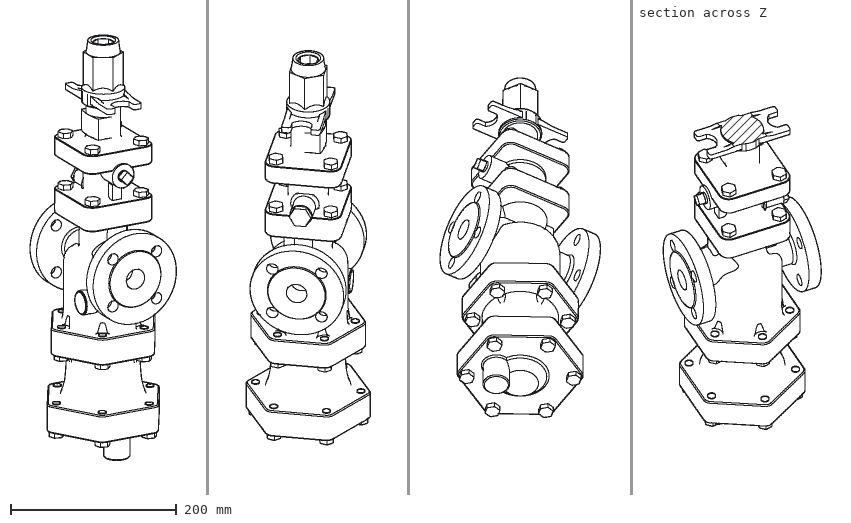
import cadquery as cq
import math


BOTTOM_Z = -241.0
TOP_Z = 281.0
PIPE_HALF_LENGTH = 80.0

PIPE_FLANGE_DIA = 115.0
PIPE_FLANGE_BACK_X = 62.0
RAISED_FACE_DIA = 70.0
RAISED_FACE_HEIGHT = 1.6
RAISED_FACE_SLOPE = 1.0
PORT_BORE_DIA = 25.0
PORT_BORE_DEPTH = 30.0
PIPE_BOLT_CIRCLE = 85.0
PIPE_BOLT_HOLE_DIA = 14.0
PORT_NECK_DIA = 42.0
PORT_ROOT_LENGTH = 4.0
PORT_ROOT_HEIGHT = 2.0

BOLT_DIA = 10.0
BOLT_TIP_HEIGHT = 1.0
HEAD_ACROSS_CORNERS = 18.48
HEAD_HEIGHT = 6.5
HEAD_CHAMFER = 0.5
HEAD_TURN = 15.0

SQUARE_BOLT_OFFSET = 33.5
SQUARE_CORNER_RADIUS = 13.0
SQUARE_SIDE = 2 * (SQUARE_BOLT_OFFSET + SQUARE_CORNER_RADIUS)
SQUARE_BOTTOM_CHAMFER = 1.5
SQUARE_TOP_CHAMFER = 0.8
GASKET_THICKNESS = 1.5
UPPER_JOINT_BOTTOM_Z = 129.5
UPPER_JOINT_SEAM_Z = 141.0
UPPER_JOINT_TOP_Z = 153.5
LOWER_JOINT_BOTTOM_Z = 56.0
LOWER_JOINT_SEAM_Z = 75.0
LOWER_JOINT_TOP_Z = 87.5

HEX_EDGE_CHAMFER = 1.5
MIDDLE_CORNER_CIRCLE_RADIUS = 58.0
MIDDLE_CORNER_RADIUS = 12.0
MIDDLE_BOLT_RADIUS = 57.5
MIDDLE_TOP_Z = -76.5
MIDDLE_SEAM_Z = -94.5
MIDDLE_BOTTOM_Z = -110.5
BASE_CORNER_CIRCLE_RADIUS = 66.0
BASE_CORNER_RADIUS = 10.0
BASE_BOLT_RADIUS = 64.5
BASE_TOP_Z = -172.5
BASE_SEAM_Z = -190.0
BASE_BOTTOM_Z = -207.5

BODY_RADIUS = 48.0
BODY_FOOT_RADIUS = 49.5
BODY_FOOT_Z = -63.5
SHOULDER_Z = -3.5
SHOULDER_TOP_Z = 13.0
BODY_NECK_RADIUS = 29.0
BODY_NECK_FILLET = 7.0
BODY_NECK_FLARE_RADIUS = 32.5
BODY_NECK_FLARE_Z = 42.0
FOOT_FILLET = 3.0
UPPER_CLEARANCE_RADIUS = 10.3

SKIRT_COLLAR_RADIUS = 46.5
SKIRT_COLLAR_Z = -114.5
SKIRT_WAIST_RADIUS = 44.7
SKIRT_WAIST_Z = -126.5
SKIRT_FLARE_RADIUS = 46.3
SKIRT_FLARE_Z = -151.0
SKIRT_FLARE_BULGE = 1.8
SKIRT_FOOT_FILLET = 2.0
SKIRT_FOOT_RADIUS = 51.5
LOWER_CLEARANCE_RADIUS = 12.5

PASSAGE_OUTER_X = 42.5
PASSAGE_INNER_X = 25.0
PASSAGE_WIDTH = 20.0
PASSAGE_BOTTOM_Z = 5.0
PASSAGE_EDGE_FILLET = 3.5

OUTLET_NECK_Z = 3.0
OUTLET_SWELL_RADIUS = 25.0
OUTLET_SWELL_INNER_X = 32.0
OUTLET_SWELL_INNER_Z = 12.0
OUTLET_SWELL_OUTER_X = 55.5
OUTLET_SWELL_OUTER_Z = 7.0
OUTLET_SWELL_OUTER_RADIUS = 22.5

FRONT_BOSS_X = 29.0
FRONT_BOSS_Z = -38.0
FRONT_BOSS_DIA = 30.0
FRONT_PLUG_DIA = 27.0
FRONT_PLUG_HEIGHT = 1.5
FRONT_BOSS_INNER_Y = -30.0

COVER_RADII = (35.0, 32.0, 28.5, 22.0)
COVER_LEVELS = (BASE_BOTTOM_Z, -209.5, -214.0, -220.5)
DRAIN_X = 33.7
DRAIN_DIA = 32.0
DRAIN_CHAMFER = 1.5
DRAIN_ROOT_FLARE = 2.0

PILOT_RADIUS = 24.3
PILOT_COLLAR_RADIUS = 31.03
PILOT_COLLAR_Z = 124.5
PILOT_FLARE_Z = 116.0
PILOT_FOOT_FILLET = 5.0

INLET_BOSS_Z = 91.5
INLET_BOSS_DIA = 27.0
INLET_BOSS_END_X = -49.5
INLET_PLUG_FLATS = 23.4
INLET_PLUG_END_X = -56.0
BOSS_ROOT_FLARE = 2.0
PILOT_RIB_END_X = 34.0
PILOT_RIB_WIDTH = 12.0
PILOT_RIB_TOP_Z = 107.0
SIDE_BOSS_Z = 122.5
SIDE_BOSS_DIA = 30.0
SIDE_BOSS_END_X = 49.5
SIDE_PLUG_DIAGONAL = 17.0
SIDE_PLUG_SHANK_DIA = 14.0
SIDE_PLUG_HEAD_X = 52.0
SIDE_PLUG_END_X = 60.5

STEM_DIA = 42.0
STEM_FOOT_FILLET = 7.0
WRENCH_BLOCK_BOTTOM_Z = 162.5
WRENCH_BLOCK_TOP_Z = 189.5
WRENCH_BLOCK_EDGE_Y = -18.4

HUB_DIA = 52.0
HUB_BOTTOM_Z = 202.0
HUB_TOP_Z = 221.0
HUB_CONE_TOP_Z = 227.0
HUB_BOTTOM_CHAMFER = 1.5
HANDLE_LENGTH = 108.0
HANDLE_WIDTH = 47.0
HANDLE_BOTTOM_Z = 206.0
HANDLE_TOP_Z = 213.0
HANDLE_END_FILLET = 3.0
NOTCH_HALF_WIDTH = 12.3
NOTCH_SHOULDER_X = 41.5
NOTCH_BOTTOM_X = 34.8
RIB_WIDTH = 6.3
RIB_START_X = 32.0
RIB_END_X = 7.0
RIB_TOP_Z = 217.5
PAD_WIDTH = 13.5
PAD_HALF_DEPTH = 25.2

NUT_ACROSS_FLATS = 42.0
NUT_TOP_Z = 266.0
CAP_BASE_RADIUS = 20.7
CAP_TOP_RADIUS = 18.7
SOCKET_MOUTH_DIA = 30.0
SOCKET_ACROSS_CORNERS = 25.0
SOCKET_CHAMFER_DEPTH = 2.5
SOCKET_DEPTH = 14.0

HEX_ANGLES = [30.0 + 60.0 * i for i in range(6)]
SQUARE_CORNERS = [(sx * SQUARE_BOLT_OFFSET, sy * SQUARE_BOLT_OFFSET) for sx in (-1, 1) for sy in (-1, 1)]


def polar_points(radius):
    """Six points on a circle, lined up with the hexagon corners."""
    return [
        (radius * math.cos(math.radians(a)), radius * math.sin(math.radians(a)))
        for a in HEX_ANGLES
    ]


def cylinder(radius, bottom_z, top_z, x=0.0, y=0.0):
    return cq.Workplane("XY", origin=(x, y, bottom_z)).circle(radius).extrude(top_z - bottom_z)


def cylinder_along_x(diameter, start_x, end_x, z=0.0):
    return cq.Workplane("YZ", origin=(start_x, 0, z)).circle(diameter / 2).extrude(end_x - start_x)


def box(x_range, y_range, z_range):
    size = [high - low for low, high in (x_range, y_range, z_range)]
    return cq.Workplane("XY").box(*size, centered=False).translate((x_range[0], y_range[0], z_range[0]))


def revolved(profile):
    """Revolve an (r, z) outline drawn on the XZ plane about the Z axis."""
    return profile.close().revolve(360, (0, 0, 0), (0, 1, 0))


def hex_head(x, y, seat_z, direction):
    """Bolt head standing on seat_z, pointing up (+1) or down (-1)."""
    head = (
        cq.Workplane("XY")
        .polygon(6, HEAD_ACROSS_CORNERS)
        .extrude(HEAD_HEIGHT)
        .intersect(
            cq.Workplane("XY").circle(HEAD_ACROSS_CORNERS / 2).extrude(HEAD_HEIGHT)
            .faces(">Z").chamfer(HEAD_CHAMFER)
        )
        .rotate((0, 0, 0), (0, 0, 1), HEAD_TURN)
    )
    if direction < 0:
        head = head.mirror("XY")
    return head.translate((x, y, seat_z))


def square_plate(bottom_z, top_z):
    return (
        cq.Workplane("XY", origin=(0, 0, bottom_z))
        .rect(SQUARE_SIDE, SQUARE_SIDE)
        .extrude(top_z - bottom_z)
        .edges("|Z")
        .fillet(SQUARE_CORNER_RADIUS)
    )


def square_joint(bottom_z, seam_z, top_z):
    """Two square plates with a gasket between them and four bolts on top."""
    gasket_top_z = seam_z + GASKET_THICKNESS
    joint = square_plate(bottom_z, seam_z).faces("<Z").chamfer(SQUARE_BOTTOM_CHAMFER)
    joint = joint.union(square_plate(seam_z, gasket_top_z), clean=False)
    top_plate = square_plate(gasket_top_z, top_z).faces(">Z").chamfer(SQUARE_TOP_CHAMFER)
    joint = joint.union(top_plate, clean=False)
    for x, y in SQUARE_CORNERS:
        joint = joint.union(hex_head(x, y, top_z, 1), clean=False)
    return joint


def hex_plate(corner_circle_radius, corner_radius, bottom_z, top_z):
    """Hexagon with rounded corners pointing along +Y and -Y."""
    flat_distance = corner_circle_radius * math.cos(math.pi / 6) + corner_radius
    across_corners = 2 * flat_distance / math.cos(math.pi / 6)
    return (
        cq.Workplane("XY", origin=(0, 0, bottom_z))
        .polygon(6, across_corners)
        .extrude(top_z - bottom_z)
        .rotate((0, 0, 0), (0, 0, 1), HEX_ANGLES[0])
        .edges("|Z")
        .fillet(corner_radius)
    )


def hex_joint(corner_circle_radius, corner_radius, bolt_radius, bottom_z, seam_z, top_z):
    """Two hexagonal plates with bolt heads below and bolt tips above."""
    lower = hex_plate(corner_circle_radius, corner_radius, bottom_z, seam_z)
    upper = hex_plate(corner_circle_radius, corner_radius, seam_z, top_z)
    lower = lower.faces("<Z").chamfer(HEX_EDGE_CHAMFER)
    upper = upper.faces(">Z").chamfer(HEX_EDGE_CHAMFER)
    joint = lower.union(upper, clean=False)
    for x, y in polar_points(bolt_radius):
        joint = joint.union(hex_head(x, y, bottom_z, -1), clean=False)
        joint = joint.union(cylinder(BOLT_DIA / 2, seam_z, top_z + BOLT_TIP_HEIGHT, x, y), clean=False)
    return joint


def main_body():
    foot_top_z = MIDDLE_TOP_Z + FOOT_FILLET
    body = revolved(
        cq.Workplane("XZ")
        .moveTo(0, MIDDLE_SEAM_Z)
        .lineTo(BODY_FOOT_RADIUS + FOOT_FILLET, MIDDLE_SEAM_Z)
        .lineTo(BODY_FOOT_RADIUS + FOOT_FILLET, MIDDLE_TOP_Z)
        .radiusArc((BODY_FOOT_RADIUS, foot_top_z), FOOT_FILLET)
        .lineTo(BODY_RADIUS, BODY_FOOT_Z)
        .lineTo(BODY_RADIUS, SHOULDER_Z)
        .spline(
            [(BODY_NECK_RADIUS + BODY_NECK_FILLET, SHOULDER_TOP_Z)],
            tangents=[(0, 1), (-1, 0)],
            includeCurrent=True,
        )
        .radiusArc((BODY_NECK_RADIUS, SHOULDER_TOP_Z + BODY_NECK_FILLET), BODY_NECK_FILLET)
        .lineTo(BODY_NECK_RADIUS, BODY_NECK_FLARE_Z)
        .lineTo(BODY_NECK_FLARE_RADIUS, LOWER_JOINT_BOTTOM_Z)
        .lineTo(0, LOWER_JOINT_BOTTOM_Z)
    )
    for x, y in polar_points(MIDDLE_CORNER_CIRCLE_RADIUS):
        body = body.cut(cylinder(UPPER_CLEARANCE_RADIUS, MIDDLE_TOP_Z, BODY_FOOT_Z, x, y))
    passage = box(
        (PASSAGE_INNER_X, PASSAGE_OUTER_X),
        (-PASSAGE_WIDTH / 2, PASSAGE_WIDTH / 2),
        (PASSAGE_BOTTOM_Z, LOWER_JOINT_BOTTOM_Z),
    )
    passage = passage.edges("|Z and >X").fillet(PASSAGE_EDGE_FILLET)
    return body.union(passage).union(passage.mirror("YZ"))


def front_plug():
    start = cq.Workplane("XZ", origin=(FRONT_BOSS_X, FRONT_BOSS_INNER_Y, FRONT_BOSS_Z))
    plug_length = BODY_RADIUS + FRONT_BOSS_INNER_Y
    boss = start.circle(FRONT_BOSS_DIA / 2).extrude(plug_length - FRONT_PLUG_HEIGHT)
    return boss.union(start.circle(FRONT_PLUG_DIA / 2).extrude(plug_length))


def skirt():
    foot_top_z = BASE_TOP_Z + SKIRT_FOOT_FILLET
    flare_mid = (SKIRT_FLARE_RADIUS + SKIRT_FLARE_BULGE, (SKIRT_FLARE_Z + foot_top_z) / 2)
    body = revolved(
        cq.Workplane("XZ")
        .moveTo(0, MIDDLE_BOTTOM_Z)
        .lineTo(SKIRT_COLLAR_RADIUS, MIDDLE_BOTTOM_Z)
        .lineTo(SKIRT_COLLAR_RADIUS, SKIRT_COLLAR_Z)
        .lineTo(SKIRT_WAIST_RADIUS, SKIRT_WAIST_Z)
        .lineTo(SKIRT_FLARE_RADIUS, SKIRT_FLARE_Z)
        .threePointArc(flare_mid, (SKIRT_FOOT_RADIUS, foot_top_z))
        .radiusArc((SKIRT_FOOT_RADIUS + SKIRT_FOOT_FILLET, BASE_TOP_Z), -SKIRT_FOOT_FILLET)
        .lineTo(0, BASE_TOP_Z)
    )
    for x, y in polar_points(MIDDLE_BOLT_RADIUS):
        body = body.cut(cylinder(LOWER_CLEARANCE_RADIUS, SKIRT_WAIST_Z, MIDDLE_BOTTOM_Z, x, y))
    return body


def bottom_cover():
    outline = cq.Workplane("XZ").moveTo(0, BASE_BOTTOM_Z)
    for radius, level in zip(COVER_RADII, COVER_LEVELS):
        outline = outline.lineTo(radius, level)
    cover = revolved(outline.lineTo(0, COVER_LEVELS[-1]))
    drain = cylinder(DRAIN_DIA / 2, BOTTOM_Z, BASE_BOTTOM_Z, DRAIN_X).faces("<Z").chamfer(DRAIN_CHAMFER)
    drain_root = (
        cq.Workplane("XY", origin=(DRAIN_X, 0, BASE_BOTTOM_Z - DRAIN_ROOT_FLARE))
        .circle(DRAIN_DIA / 2)
        .workplane(offset=DRAIN_ROOT_FLARE)
        .circle(DRAIN_DIA / 2 + DRAIN_ROOT_FLARE)
        .loft()
    )
    return cover.union(drain).union(drain_root)


def pipe_flange():
    """Flange on the +X end with its raised face and bolt holes."""
    rim_x = PIPE_HALF_LENGTH - RAISED_FACE_HEIGHT
    flange = cylinder_along_x(PIPE_FLANGE_DIA, PIPE_FLANGE_BACK_X, rim_x)
    raised_face = (
        cq.Workplane("YZ", origin=(rim_x, 0, 0))
        .circle(RAISED_FACE_DIA / 2 + RAISED_FACE_SLOPE)
        .workplane(offset=RAISED_FACE_HEIGHT)
        .circle(RAISED_FACE_DIA / 2)
        .loft()
    )
    flange = flange.union(raised_face)
    root_x = PIPE_FLANGE_BACK_X - PORT_ROOT_LENGTH
    root = (
        cq.Workplane("YZ", origin=(root_x, 0, 0))
        .circle(PORT_NECK_DIA / 2)
        .workplane(offset=PORT_ROOT_LENGTH)
        .circle(PORT_NECK_DIA / 2 + PORT_ROOT_HEIGHT)
        .loft()
    )
    hole_offset = PIPE_BOLT_CIRCLE / 2 * math.sin(math.pi / 4)
    holes = (
        cq.Workplane("YZ", origin=(PIPE_FLANGE_BACK_X, 0, 0))
        .rect(2 * hole_offset, 2 * hole_offset, forConstruction=True)
        .vertices()
        .circle(PIPE_BOLT_HOLE_DIA / 2)
        .extrude(PIPE_HALF_LENGTH)
    )
    return flange.union(root).cut(holes)


def ports():
    flange = pipe_flange()
    inlet_neck = cylinder_along_x(PORT_NECK_DIA, -PIPE_FLANGE_BACK_X, -PASSAGE_INNER_X)
    outlet_neck = cylinder_along_x(PORT_NECK_DIA, OUTLET_SWELL_OUTER_X, PIPE_FLANGE_BACK_X, OUTLET_NECK_Z)
    outlet_swell = (
        cq.Workplane("YZ", origin=(OUTLET_SWELL_OUTER_X, 0, OUTLET_SWELL_OUTER_Z))
        .circle(OUTLET_SWELL_OUTER_RADIUS)
        .workplane(offset=OUTLET_SWELL_INNER_X - OUTLET_SWELL_OUTER_X)
        .center(0, OUTLET_SWELL_INNER_Z - OUTLET_SWELL_OUTER_Z)
        .circle(OUTLET_SWELL_RADIUS)
        .loft()
    )
    outlet_root = cylinder_along_x(2 * OUTLET_SWELL_RADIUS, 0, OUTLET_SWELL_INNER_X, OUTLET_SWELL_INNER_Z)
    both_ports = flange.union(flange.mirror("YZ"))
    for piece in (inlet_neck, outlet_neck, outlet_swell, outlet_root):
        both_ports = both_ports.union(piece)
    return both_ports


def port_bores():
    bore = cylinder_along_x(PORT_BORE_DIA, PIPE_HALF_LENGTH - PORT_BORE_DEPTH, PIPE_HALF_LENGTH)
    return bore.union(bore.mirror("YZ"))


def pilot_body():
    flare_mid = (
        PILOT_COLLAR_RADIUS - (PILOT_COLLAR_RADIUS - PILOT_RADIUS) * math.cos(math.pi / 4),
        PILOT_FLARE_Z + (PILOT_COLLAR_Z - PILOT_FLARE_Z) * math.sin(math.pi / 4),
    )
    return revolved(
        cq.Workplane("XZ")
        .moveTo(0, LOWER_JOINT_TOP_Z)
        .lineTo(PILOT_RADIUS + PILOT_FOOT_FILLET, LOWER_JOINT_TOP_Z)
        .radiusArc((PILOT_RADIUS, LOWER_JOINT_TOP_Z + PILOT_FOOT_FILLET), PILOT_FOOT_FILLET)
        .lineTo(PILOT_RADIUS, PILOT_FLARE_Z)
        .threePointArc(flare_mid, (PILOT_COLLAR_RADIUS, PILOT_COLLAR_Z))
        .lineTo(PILOT_COLLAR_RADIUS, UPPER_JOINT_BOTTOM_Z)
        .lineTo(0, UPPER_JOINT_BOTTOM_Z)
    )


def inlet_boss_root():
    """Cone that blends the inlet boss into the pilot wall."""
    narrow = INLET_BOSS_DIA / 2
    return (
        cq.Workplane("YZ", origin=(-PILOT_RADIUS - BOSS_ROOT_FLARE, 0, INLET_BOSS_Z))
        .circle(narrow)
        .workplane(offset=2 * BOSS_ROOT_FLARE)
        .circle(narrow + 2 * BOSS_ROOT_FLARE)
        .loft()
    )


def polygon_along_x(sides, across_corners, start_x, end_x, z):
    """Prism along X with two of its corners pointing along +Y and -Y."""
    start = cq.Workplane("YZ", origin=(start_x, 0, z))
    return start.polygon(sides, across_corners).extrude(end_x - start_x)


def inlet_boss():
    """Boss on the -X side closed by a hexagonal plug."""
    across_corners = INLET_PLUG_FLATS / math.cos(math.pi / 6)
    boss = cylinder_along_x(INLET_BOSS_DIA, INLET_BOSS_END_X, 0, INLET_BOSS_Z)
    plug = polygon_along_x(6, across_corners, INLET_PLUG_END_X, INLET_BOSS_END_X, INLET_BOSS_Z)
    return boss.union(plug).union(inlet_boss_root())


def pilot_rib():
    """Narrow rib on the +X side, below the side boss."""
    return box(
        (0, PILOT_RIB_END_X),
        (-PILOT_RIB_WIDTH / 2, PILOT_RIB_WIDTH / 2),
        (LOWER_JOINT_TOP_Z, PILOT_RIB_TOP_Z),
    )


def side_boss():
    """Boss on the +X side closed by a square-headed plug."""
    boss = cylinder_along_x(SIDE_BOSS_DIA, 0, SIDE_BOSS_END_X, SIDE_BOSS_Z)
    shank = cylinder_along_x(SIDE_PLUG_SHANK_DIA, 0, SIDE_PLUG_HEAD_X, SIDE_BOSS_Z)
    head = polygon_along_x(4, SIDE_PLUG_DIAGONAL, SIDE_PLUG_HEAD_X, SIDE_PLUG_END_X, SIDE_BOSS_Z)
    return boss.union(shank).union(head)


def stem():
    radius = STEM_DIA / 2
    column = revolved(
        cq.Workplane("XZ")
        .moveTo(0, UPPER_JOINT_TOP_Z)
        .lineTo(radius + STEM_FOOT_FILLET, UPPER_JOINT_TOP_Z)
        .radiusArc((radius, UPPER_JOINT_TOP_Z + STEM_FOOT_FILLET), STEM_FOOT_FILLET)
        .lineTo(radius, HUB_BOTTOM_Z)
        .lineTo(0, HUB_BOTTOM_Z)
    )
    wrench_block = (
        cq.Workplane("XY", origin=(0, 0, WRENCH_BLOCK_BOTTOM_Z))
        .moveTo(-radius, 0)
        .lineTo(-radius, WRENCH_BLOCK_EDGE_Y)
        .threePointArc((0, -radius), (radius, WRENCH_BLOCK_EDGE_Y))
        .lineTo(radius, 0)
        .close()
        .extrude(WRENCH_BLOCK_TOP_Z - WRENCH_BLOCK_BOTTOM_Z)
    )
    return column.union(wrench_block)


def handle_plate():
    plate = (
        cq.Workplane("XY", origin=(0, 0, HANDLE_BOTTOM_Z))
        .rect(HANDLE_LENGTH, HANDLE_WIDTH)
        .extrude(HANDLE_TOP_Z - HANDLE_BOTTOM_Z)
    )
    notch = (
        cq.Workplane("XY", origin=(0, 0, HANDLE_BOTTOM_Z))
        .moveTo(HANDLE_LENGTH, -NOTCH_HALF_WIDTH)
        .lineTo(NOTCH_SHOULDER_X, -NOTCH_HALF_WIDTH)
        .threePointArc((NOTCH_BOTTOM_X, 0), (NOTCH_SHOULDER_X, NOTCH_HALF_WIDTH))
        .lineTo(HANDLE_LENGTH, NOTCH_HALF_WIDTH)
        .close()
        .extrude(HANDLE_TOP_Z - HANDLE_BOTTOM_Z)
    )
    plate = plate.cut(notch).cut(notch.mirror("YZ"))
    return plate.edges("|Z and (<X or >X)").fillet(HANDLE_END_FILLET)


def handle():
    grip = handle_plate()
    half_width = HANDLE_WIDTH / 2
    rib = (
        cq.Workplane("XZ", origin=(0, half_width, 0))
        .moveTo(-RIB_START_X, HANDLE_BOTTOM_Z)
        .lineTo(-RIB_START_X, HANDLE_TOP_Z)
        .lineTo(-RIB_END_X, RIB_TOP_Z)
        .lineTo(RIB_END_X, RIB_TOP_Z)
        .lineTo(RIB_START_X, HANDLE_TOP_Z)
        .lineTo(RIB_START_X, HANDLE_BOTTOM_Z)
        .close()
        .extrude(RIB_WIDTH)
    )
    pads = box(
        (-PAD_WIDTH / 2, PAD_WIDTH / 2),
        (-PAD_HALF_DEPTH, PAD_HALF_DEPTH),
        (HUB_BOTTOM_Z + HUB_BOTTOM_CHAMFER, RIB_TOP_Z),
    )
    hub_radius = HUB_DIA / 2
    hub = revolved(
        cq.Workplane("XZ")
        .moveTo(0, HUB_BOTTOM_Z)
        .lineTo(hub_radius - HUB_BOTTOM_CHAMFER, HUB_BOTTOM_Z)
        .lineTo(hub_radius, HUB_BOTTOM_Z + HUB_BOTTOM_CHAMFER)
        .lineTo(hub_radius, HUB_TOP_Z)
        .lineTo(NUT_ACROSS_FLATS / 2, HUB_CONE_TOP_Z)
        .lineTo(0, HUB_CONE_TOP_Z)
    )
    return grip.union(rib).union(rib.mirror("XZ")).union(pads).union(hub)


def cap_nut():
    nut = (
        cq.Workplane("XY", origin=(0, 0, HUB_TOP_Z))
        .polygon(6, NUT_ACROSS_FLATS / math.cos(math.pi / 6))
        .extrude(NUT_TOP_Z - HUB_TOP_Z)
    )
    cap = (
        cq.Workplane("XY", origin=(0, 0, NUT_TOP_Z))
        .circle(CAP_BASE_RADIUS)
        .workplane(offset=TOP_Z - NUT_TOP_Z)
        .circle(CAP_TOP_RADIUS)
        .loft()
    )
    socket = (
        cq.Workplane("XY", origin=(0, 0, TOP_Z - SOCKET_DEPTH))
        .polygon(6, SOCKET_ACROSS_CORNERS)
        .extrude(SOCKET_DEPTH)
    )
    mouth = (
        cq.Workplane("XY", origin=(0, 0, TOP_Z - SOCKET_CHAMFER_DEPTH))
        .circle(SOCKET_ACROSS_CORNERS / 2)
        .workplane(offset=SOCKET_CHAMFER_DEPTH)
        .circle(SOCKET_MOUTH_DIA / 2)
        .loft()
    )
    return nut.union(cap).cut(socket).cut(mouth)


pieces = [
    front_plug(),
    hex_joint(
        MIDDLE_CORNER_CIRCLE_RADIUS,
        MIDDLE_CORNER_RADIUS,
        MIDDLE_BOLT_RADIUS,
        MIDDLE_BOTTOM_Z,
        MIDDLE_SEAM_Z,
        MIDDLE_TOP_Z,
    ),
    skirt(),
    hex_joint(
        BASE_CORNER_CIRCLE_RADIUS,
        BASE_CORNER_RADIUS,
        BASE_BOLT_RADIUS,
        BASE_BOTTOM_Z,
        BASE_SEAM_Z,
        BASE_TOP_Z,
    ),
    bottom_cover(),
    ports(),
    square_joint(LOWER_JOINT_BOTTOM_Z, LOWER_JOINT_SEAM_Z, LOWER_JOINT_TOP_Z),
    pilot_body(),
    inlet_boss(),
    pilot_rib(),
    side_boss(),
    square_joint(UPPER_JOINT_BOTTOM_Z, UPPER_JOINT_SEAM_Z, UPPER_JOINT_TOP_Z),
    stem(),
    handle(),
    cap_nut(),
]
result = main_body()
for piece in pieces:
    result = result.union(piece, clean=False)
result = result.cut(port_bores(), clean=False)